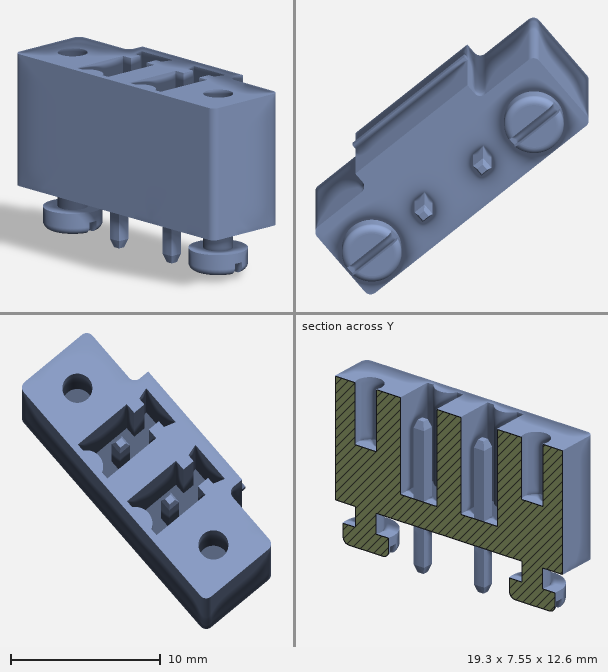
import cadquery as cq


length = 19.28
flange_depth = 6.02
centre_width = 9.72
centre_depth = 7.27
height = 9.15
corner_radius = 0.5
selection_margin = 0.2

rib_back = 7.55
rib_bottom = 5.67
rib_height = 0.6

pole_pitch = 5.09
pole_xs = (-pole_pitch / 2, pole_pitch / 2)
screw_spacing = 14.07
screw_xs = (-screw_spacing / 2, screw_spacing / 2)
axis_y = 2.91

pocket_width = 3.05
pocket_front = 0.45
pocket_shoulder = 4.72
pocket_back = 6.42
neck_width = 1.5
dovetail_front = 5.61
dovetail_front_width = 2.55
key_width = 1.97
key_height = 0.58
pocket_floor = 2.0

pin_width = 0.87
pin_tip_width = 0.48
pin_taper = 0.58
pin_bottom = -3.45
pin_top = 7.79

screw_diameter = 2.0
hole_depth = height / 2
head_diameter = 4.0
head_gap = 1.5
head_height = head_gap
head_fillet = 0.5
head_slot_width = 0.67
head_slot_depth = 0.81


def make_housing():
    """Flanged block with a deeper centre and a rib across its back."""
    flanges = (
        cq.Workplane("XY")
        .box(length, flange_depth, height, centered=(True, False, False))
        .edges("|Z")
        .fillet(corner_radius)
    )
    centre = cq.Workplane("XY").box(centre_width, centre_depth, height, centered=(True, False, False))
    inner_corner = cq.selectors.BoxSelector(
        (-centre_width / 2 - selection_margin, flange_depth - selection_margin, 0),
        (centre_width / 2 + selection_margin, flange_depth + selection_margin, height),
    )
    block = flanges.union(centre).edges("|Z").edges(inner_corner).fillet(corner_radius)
    rib = (
        cq.Workplane("XY", origin=(0, centre_depth, rib_bottom))
        .box(centre_width, rib_back - centre_depth, rib_height, centered=(True, False, False))
    )
    return block.union(rib)


def make_pocket(x):
    """Pocket with a round key at the front and a necked dovetail at the back."""
    return (
        cq.Workplane("XY", origin=(x, 0, pocket_floor))
        .moveTo(-pocket_width / 2, pocket_front)
        .lineTo(-key_width / 2, pocket_front)
        .threePointArc((0, pocket_front + key_height), (key_width / 2, pocket_front))
        .lineTo(pocket_width / 2, pocket_front)
        .lineTo(pocket_width / 2, pocket_shoulder)
        .lineTo(neck_width / 2, pocket_shoulder)
        .lineTo(neck_width / 2, dovetail_front)
        .lineTo(dovetail_front_width / 2, dovetail_front)
        .lineTo(pocket_width / 2, pocket_back)
        .lineTo(-pocket_width / 2, pocket_back)
        .lineTo(-dovetail_front_width / 2, dovetail_front)
        .lineTo(-neck_width / 2, dovetail_front)
        .lineTo(-neck_width / 2, pocket_shoulder)
        .lineTo(-pocket_width / 2, pocket_shoulder)
        .close()
        .extrude(height - pocket_floor)
    )


def make_pin(x):
    """Square pin with a blunt pyramid at each end."""
    shaft_top = pin_top - pin_taper
    shaft_bottom = pin_bottom + pin_taper
    shaft = (
        cq.Workplane("XY", origin=(x, axis_y, shaft_bottom))
        .rect(pin_width, pin_width)
        .extrude(shaft_top - shaft_bottom)
    )
    for shaft_end, tip in ((shaft_top, pin_taper), (shaft_bottom, -pin_taper)):
        taper = (
            cq.Workplane("XY", origin=(x, axis_y, shaft_end))
            .rect(pin_width, pin_width)
            .workplane(offset=tip)
            .rect(pin_tip_width, pin_tip_width)
            .loft(ruled=True)
        )
        shaft = shaft.union(taper)
    return shaft


def make_screw(x):
    """Shank and slotted head hanging below a flange."""
    head_top = -head_gap
    head_bottom = head_top - head_height
    head = (
        cq.Workplane("XY", origin=(x, axis_y, head_bottom))
        .circle(head_diameter / 2)
        .extrude(head_height)
        .faces("<Z")
        .edges()
        .fillet(head_fillet)
    )
    slot = (
        cq.Workplane("XY", origin=(x, axis_y, head_bottom))
        .rect(head_diameter, head_slot_width)
        .extrude(head_slot_depth)
    )
    shank = (
        cq.Workplane("XY", origin=(x, axis_y, head_top))
        .circle(screw_diameter / 2)
        .extrude(head_gap)
    )
    return head.cut(slot).union(shank)


def make_hole(x):
    """Blind hole from the top of a flange."""
    return (
        cq.Workplane("XY", origin=(x, axis_y, height - hole_depth))
        .circle(screw_diameter / 2)
        .extrude(hole_depth)
    )


result = make_housing()
for pole_x in pole_xs:
    result = result.cut(make_pocket(pole_x)).union(make_pin(pole_x))
for screw_x in screw_xs:
    result = result.cut(make_hole(screw_x)).union(make_screw(screw_x))